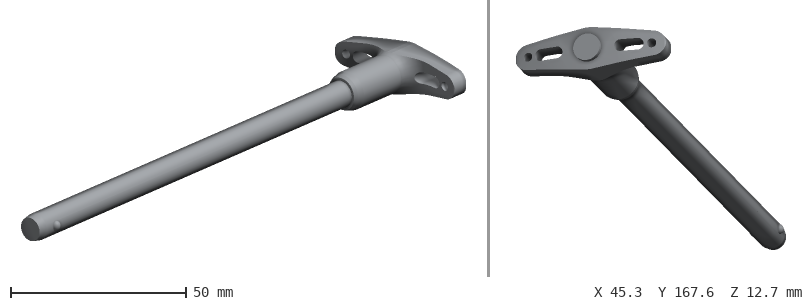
import cadquery as cq
import math

total_length = 167.6
pin_radius = 4.0
tip_radius = 3.5
tip_taper_length = 2.5

ball_radius = 1.5
ball_reach = 5.0
ball_y = 6.9

sleeve_radius = 5.9
collar_radius = 5.4
collar_end_radius = 4.9
collar_end_y = 135.5
collar_y = 136.6
sleeve_y = 138.6
flare_y = 154.9

handle_span = 45.3
handle_height = 12.7
button_height = 1.3
arm_end_radius = 3.77
middle_flat_half = 0.8
arm_end_top_y = 164.0
arm_end_bottom_y = 158.6
arm_bottom_y = 160.0
flare_radius = 11.9
end_edge_rounding = 0.5

slot_center_x = 12.0
slot_length = 8.5
slot_width = 3.5
lanyard_hole_x = 18.6
lanyard_hole_diameter = 2.7

half_span = handle_span / 2
half_height = handle_height / 2
crown_y = total_length - button_height


def make_shaft():
    """Pin, sleeve and push button as one turned body."""
    return (
        cq.Workplane("XY")
        .moveTo(0, 0)
        .lineTo(tip_radius, 0)
        .lineTo(pin_radius, tip_taper_length)
        .lineTo(pin_radius, collar_end_y)
        .lineTo(collar_end_radius, collar_end_y)
        .lineTo(collar_radius, collar_y)
        .lineTo(sleeve_radius, sleeve_y)
        .lineTo(sleeve_radius, arm_bottom_y)
        .lineTo(pin_radius, arm_bottom_y)
        .lineTo(pin_radius, total_length)
        .lineTo(0, total_length)
        .close()
        .revolve(360, (0, 0, 0), (0, 1, 0))
    )


def make_handle_outline():
    """Tapered prism along Y with rounded ends, bounding the whole handle."""
    end_center_x = half_span - arm_end_radius
    run = end_center_x - middle_flat_half
    tangent_angle = math.atan2(half_height, run) - math.asin(arm_end_radius / math.hypot(run, half_height))
    tangent_x = end_center_x + arm_end_radius * math.sin(tangent_angle)
    tangent_z = arm_end_radius * math.cos(tangent_angle)
    return (
        cq.Workplane("XZ")
        .moveTo(-middle_flat_half, half_height)
        .lineTo(middle_flat_half, half_height)
        .lineTo(tangent_x, tangent_z)
        .threePointArc((half_span, 0), (tangent_x, -tangent_z))
        .lineTo(middle_flat_half, -half_height)
        .lineTo(-middle_flat_half, -half_height)
        .lineTo(-tangent_x, -tangent_z)
        .threePointArc((-half_span, 0), (-tangent_x, tangent_z))
        .close()
        .extrude(-total_length)
    )


def make_arms():
    """Bar with an arched crown; its underside droops from the flare to the ends."""
    return (
        cq.Workplane("XY")
        .moveTo(-half_span, arm_end_top_y)
        .threePointArc((0, crown_y), (half_span, arm_end_top_y))
        .lineTo(half_span, arm_end_bottom_y)
        .lineTo(flare_radius, arm_bottom_y)
        .lineTo(-flare_radius, arm_bottom_y)
        .lineTo(-half_span, arm_end_bottom_y)
        .close()
        .extrude(half_height, both=True)
    )


def make_flare():
    """Hollow-curved transition from the sleeve to the underside of the arms."""
    width = flare_radius - sleeve_radius
    height = arm_bottom_y - flare_y
    curve_radius = (width**2 + height**2) / (2 * height)
    half_sweep = math.atan2(height, width)
    arc_middle = (
        flare_radius - curve_radius * math.sin(half_sweep),
        arm_bottom_y - curve_radius * (1 - math.cos(half_sweep)),
    )
    return (
        cq.Workplane("XY")
        .moveTo(0, flare_y)
        .lineTo(sleeve_radius, flare_y)
        .threePointArc(arc_middle, (flare_radius, arm_bottom_y))
        .lineTo(0, arm_bottom_y)
        .close()
        .revolve(360, (0, 0, 0), (0, 1, 0))
    )


def make_handle():
    """T-handle with softened end edges and two openings through each arm."""
    outline = make_handle_outline()
    arms = make_arms().edges("|Z and (<X or >X)").fillet(end_edge_rounding)
    handle = arms.intersect(outline).union(make_flare().intersect(outline))
    for side in (-1, 1):
        openings = (
            cq.Workplane("XZ")
            .center(side * slot_center_x, 0)
            .slot2D(slot_length, slot_width)
            .extrude(-total_length)
            .union(
                cq.Workplane("XZ")
                .center(side * lanyard_hole_x, 0)
                .circle(lanyard_hole_diameter / 2)
                .extrude(-total_length)
            )
        )
        handle = handle.cut(openings)
    return handle


def make_balls():
    """Pair of balls standing out of opposite sides of the pin."""
    offset = ball_reach - ball_radius
    return cq.Workplane("XY").pushPoints([(-offset, ball_y), (offset, ball_y)]).sphere(ball_radius)


result = make_shaft().union(make_handle()).union(make_balls())